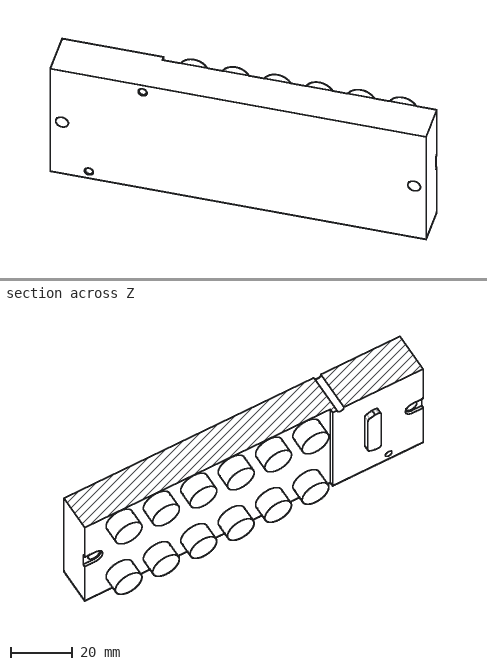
import cadquery as cq
import math

WIDTH = 126.0
HEIGHT = 45.0
DEPTH = 15.0
LOW_DEPTH = 13.5
STEP_FROM_LEFT = 34.0
OVERALL_DEPTH = 19.5

SOCKET_DIAMETER = 10.0
SOCKET_COLUMNS = 6
SOCKET_PITCH = 14.0
FIRST_SOCKET_FROM_LEFT = 43.0
SOCKET_ROW_OFFSET = 14.5

SHROUD_WIDTH = 4.9
SHROUD_LENGTH = 20.0
SHROUD_HEIGHT = 2.0
SHROUD_FROM_LEFT = 17.0
SHROUD_CORNER_RADIUS = 1.0
SHROUD_FLAT_END = 2.2
SHROUD_TAPER_ANGLE = 20.0

MOUNT_DIAMETER = 4.2
MOUNT_FROM_END = 4.0
SLOT_WIDTH = 5.4
SLOT_DEPTH = 1.0

PILOT_DIAMETER = 2.46
PILOT_MOUTH_DIAMETER = 3.0
PILOT_FROM_EDGE = 3.0
UPPER_PILOT_FROM_LEFT = 31.0
LOWER_PILOT_FROM_LEFT = 13.0

LEFT = -WIDTH / 2


def plane_at(y):
    """Workplane parallel to the back face, drawn in X and Z; a negative extrusion goes toward +Y."""
    return cq.Workplane("XZ", origin=(0, y, 0))


def cylinder(x, z, diameter, y_start, y_end):
    """Cylinder along Y."""
    return plane_at(y_start).center(x, z).circle(diameter / 2).extrude(y_start - y_end)


def make_block():
    step_x = LEFT + STEP_FROM_LEFT
    return (
        cq.Workplane("XY")
        .workplane(offset=-HEIGHT / 2)
        .moveTo(LEFT, 0)
        .lineTo(-LEFT, 0)
        .lineTo(-LEFT, LOW_DEPTH)
        .lineTo(step_x, LOW_DEPTH)
        .lineTo(step_x, DEPTH)
        .lineTo(LEFT, DEPTH)
        .close()
        .extrude(HEIGHT)
    )


def add_sockets(body):
    for column in range(SOCKET_COLUMNS):
        x = LEFT + FIRST_SOCKET_FROM_LEFT + column * SOCKET_PITCH
        for z in (-SOCKET_ROW_OFFSET, SOCKET_ROW_OFFSET):
            body = body.union(cylinder(x, z, SOCKET_DIAMETER, LOW_DEPTH, OVERALL_DEPTH))
    return body


def add_shroud(body):
    """Shroud with rounded corners whose ends taper toward its right side."""
    left = LEFT + SHROUD_FROM_LEFT
    right = left + SHROUD_WIDTH
    end = SHROUD_LENGTH / 2
    taper_x = left + SHROUD_FLAT_END
    right_end = end - (right - taper_x) * math.tan(math.radians(SHROUD_TAPER_ANGLE))
    outline = [
        (left, -end),
        (taper_x, -end),
        (right, -right_end),
        (right, right_end),
        (taper_x, end),
        (left, end),
    ]
    shroud = plane_at(DEPTH).polyline(outline).close().extrude(-SHROUD_HEIGHT)
    shroud = shroud.edges("|Y and (<X or >X)").fillet(SHROUD_CORNER_RADIUS)
    return body.union(shroud)


def cut_mounting_holes(body):
    """Through holes, with the round end of each slot centred on its hole."""
    half_slot = SLOT_WIDTH / 2
    for side, back in ((-1, DEPTH), (1, LOW_DEPTH)):
        end_x = side * WIDTH / 2
        hole_x = end_x - side * MOUNT_FROM_END
        slot = (
            plane_at(back)
            .moveTo(end_x, -half_slot)
            .lineTo(hole_x, -half_slot)
            .threePointArc((hole_x - side * half_slot, 0), (hole_x, half_slot))
            .lineTo(end_x, half_slot)
            .close()
            .extrude(SLOT_DEPTH)
        )
        body = body.cut(cylinder(hole_x, 0, MOUNT_DIAMETER, 0, back))
        body = body.cut(slot)
    return body


def cut_pilot_holes(body):
    """Through holes with a 45 degree chamfer at the front face."""
    mouth_radius = PILOT_MOUTH_DIAMETER / 2
    hole_radius = PILOT_DIAMETER / 2
    chamfer = mouth_radius - hole_radius
    row = HEIGHT / 2 - PILOT_FROM_EDGE
    for from_left, z in ((UPPER_PILOT_FROM_LEFT, row), (LOWER_PILOT_FROM_LEFT, -row)):
        x = LEFT + from_left
        mouth = cq.Solid.makeCone(
            mouth_radius, hole_radius, chamfer, cq.Vector(x, 0, z), cq.Vector(0, 1, 0)
        )
        body = body.cut(cylinder(x, z, PILOT_DIAMETER, 0, DEPTH))
        body = body.cut(cq.Workplane(mouth))
    return body


result = make_block()
result = add_sockets(result)
result = add_shroud(result)
result = cut_mounting_holes(result)
result = cut_pilot_holes(result)